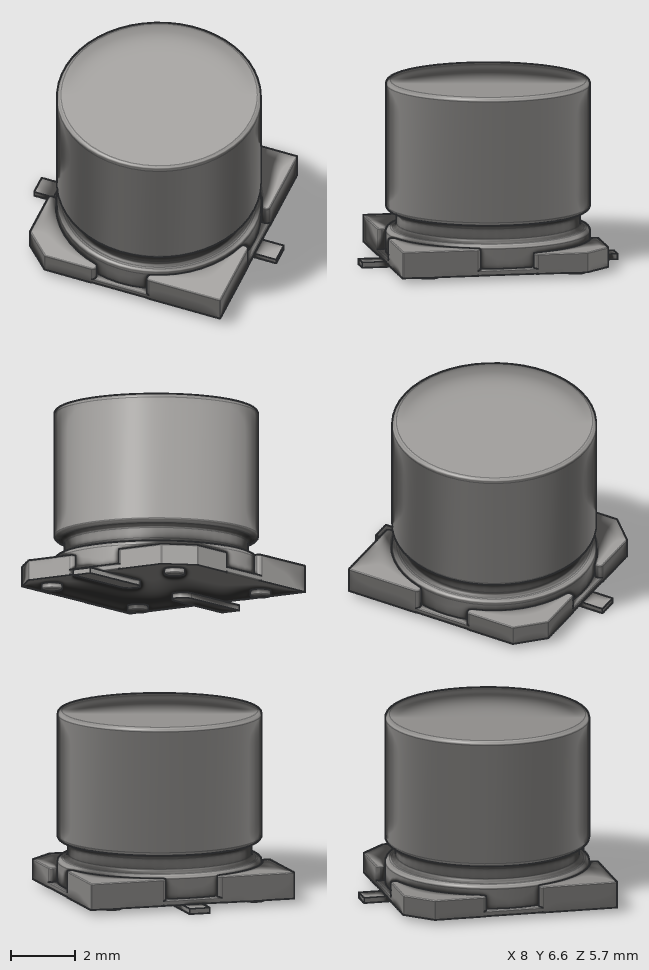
import cadquery as cq
import math


total_height = 5.7
lead_span = 8.0
base_width = 6.6

can_diameter = 6.3
neck_diameter = 5.67
can_edge_radius = 0.125
neck_bottom = 1.10
neck_top = 1.67

base_bottom = 0.17
base_floor = 0.35
low_corner_top = 0.80
high_corner_top = 1.00
corner_chamfer = 0.80
base_edge_radius = 0.03
well_diameter = 6.36
notch_width = 1.68
notch_round = 0.11

lead_width = 0.65
lead_inner_end = 1.09
foot_diameter = 0.63
foot_offset = 2.31
foot_edge_radius = 0.04


def make_can():
    """Revolved can with rounded rims and a rolled neck near the bottom."""
    r = can_edge_radius
    bend = r * math.sqrt(0.5)
    can_radius = can_diameter / 2
    neck_radius = neck_diameter / 2
    lip_x = can_radius - r
    root_x = neck_radius + r

    profile = (
        cq.Workplane("XZ")
        .moveTo(0, base_floor)
        .lineTo(can_radius, base_floor)
        .lineTo(can_radius, neck_bottom - r)
        .threePointArc((lip_x + bend, neck_bottom - r + bend), (lip_x, neck_bottom))
        .lineTo(root_x, neck_bottom)
        .threePointArc((root_x - bend, neck_bottom + r - bend), (neck_radius, neck_bottom + r))
        .lineTo(neck_radius, neck_top - r)
        .threePointArc((root_x - bend, neck_top - r + bend), (root_x, neck_top))
        .lineTo(lip_x, neck_top)
        .threePointArc((lip_x + bend, neck_top + r - bend), (can_radius, neck_top + r))
        .lineTo(can_radius, total_height - r)
        .threePointArc((lip_x + bend, total_height - r + bend), (lip_x, total_height))
        .lineTo(0, total_height)
        .close()
    )
    return profile.revolve(360, (0, 0, 0), (0, 1, 0))


def base_block(bottom, top):
    """Square block with the two -X corners cut off and its upright edges rounded."""
    block = cq.Workplane("XY").workplane(offset=bottom)
    block = block.rect(base_width, base_width).extrude(top - bottom)
    block = block.edges("|Z and <X").chamfer(corner_chamfer)
    return block.edges("|Z").fillet(base_edge_radius)


def notch_strip(on_y_axis):
    """Selector for the edges on the walls of the notches centred on the Y axis or on the X axis."""
    reach = notch_width / 2 + base_edge_radius
    x_reach, y_reach = (reach, base_width) if on_y_axis else (base_width, reach)
    return cq.selectors.BoxSelector((-x_reach, -y_reach, 0), (x_reach, y_reach, total_height))


def make_corner(x_side, y_side, top):
    """One raised corner of the base, hollowed by the well and rounded beside the notches."""
    quarter = (
        cq.Workplane("XY")
        .workplane(offset=base_bottom)
        .center(x_side * notch_width / 2, y_side * notch_width / 2)
        .rect(x_side * base_width / 2, y_side * base_width / 2, centered=False)
        .extrude(top - base_bottom)
    )
    well = cq.Workplane("XY").circle(well_diameter / 2).extrude(total_height)
    corner = base_block(base_bottom, top).intersect(quarter).cut(well)

    for on_y_axis in (True, False):
        corner = corner.edges("|Z").edges(notch_strip(on_y_axis)).fillet(notch_round)
    return corner.faces(">Z").edges().fillet(base_edge_radius)


def make_base():
    """Base plate with two low corners on -X and two high corners on +X."""
    base = base_block(base_bottom, base_floor)
    base = base.faces(">Z or <Z").edges().fillet(base_edge_radius)
    for x_side, top in ((-1, low_corner_top), (1, high_corner_top)):
        for y_side in (-1, 1):
            base = base.union(make_corner(x_side, y_side, top))
    return base


def make_lead(x_side):
    """Flat lead with a fully rounded inner end."""
    half_width = lead_width / 2
    outer_x = x_side * lead_span / 2
    round_x = x_side * (lead_inner_end + half_width)
    return (
        cq.Workplane("XY")
        .moveTo(outer_x, -half_width)
        .lineTo(round_x, -half_width)
        .threePointArc((x_side * lead_inner_end, 0), (round_x, half_width))
        .lineTo(outer_x, half_width)
        .close()
        .extrude(base_bottom)
    )


def make_feet():
    """Four round feet under the corners, with softened lower edges."""
    feet = (
        cq.Workplane("XY")
        .rect(2 * foot_offset, 2 * foot_offset, forConstruction=True)
        .vertices()
        .circle(foot_diameter / 2)
        .extrude(base_bottom)
    )
    return feet.faces("<Z").edges().fillet(foot_edge_radius)


result = make_can().union(make_base())
for side in (-1, 1):
    result = result.union(make_lead(side))
result = result.union(make_feet())